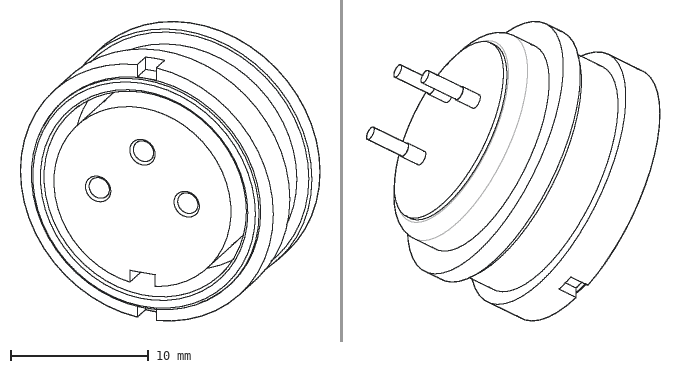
import cadquery as cq


body_radius = 9.0
shell_front = 0.3
front_chamfer = 0.2
bore_radius = 8.0
bore_chamfer = 0.2
socket_depth = 6.0
rear_radius = 8.2
rear_end = 12.2
rear_fillet = 1.0

flange_radius = 10.0
flange_front = 7.8
flange_rear = 9.3
seal_radius = 9.75
seal_section_radius = 0.5

nut_radius = 10.0
nut_front = 0.8
nut_rear = 3.8
notch_width = 1.5
notch_length = 1.5

insert_radius = 7.0
insert_rear = 12.5
key_width = 2.0
key_depth = 1.0

contact_circle_radius = 3.5
contact_places = [
    (-contact_circle_radius, 0),
    (0, contact_circle_radius),
    (contact_circle_radius, 0),
]
hole_diameter = 1.6
hole_mouth_chamfer = 0.2
hole_depth = 4.0
pin_diameter = 1.0
pin_end = 17.0
collar_diameter = 1.08
collar_end = 14.0


def cylinder(radius, start, end):
    """Solid cylinder on the connector axis between two Y positions."""
    return cq.Workplane("XZ", origin=(0, start, 0)).circle(radius).extrude(start - end)


def contact_cylinders(diameter, start, end):
    """One cylinder at every contact place."""
    plane = cq.Workplane("XZ", origin=(0, start, 0))
    return plane.pushPoints(contact_places).circle(diameter / 2).extrude(start - end)


def make_seal():
    """Round-section ring, half embedded in the front face of the flange."""
    section_center = (seal_radius - seal_section_radius, flange_front)
    section = cq.Workplane("XY").center(*section_center).circle(seal_section_radius)
    axis_start = (-section_center[0], 0)
    axis_end = (-section_center[0], 1)
    return section.revolve(360, axis_start, axis_end)


def make_shell():
    body = cylinder(body_radius, shell_front, flange_front).faces("<Y").chamfer(front_chamfer)
    flange = cylinder(flange_radius, flange_front, flange_rear)
    seal = make_seal()
    rear = cylinder(rear_radius, flange_rear, rear_end).faces(">Y").edges().fillet(rear_fillet)
    bore = cylinder(bore_radius, shell_front, socket_depth)
    shell = body.union(flange).union(seal).union(rear).cut(bore)
    inner_edge = cq.selectors.RadiusNthSelector(0)
    return shell.faces("<Y").edges(inner_edge).chamfer(bore_chamfer)


def make_nut():
    nut = cylinder(nut_radius, nut_front, nut_rear).cut(cylinder(body_radius, nut_front, nut_rear))
    notch_middle = nut_front + notch_length / 2
    for side in (-1, 1):
        notch = cq.Workplane("XY").box(notch_width, notch_length, 2 * (nut_radius - body_radius))
        nut = nut.cut(notch.translate((0, notch_middle, side * nut_radius)))
    return nut


def make_insert():
    insert = cylinder(insert_radius, 0, insert_rear)
    keyway = cq.Workplane("XY").box(
        key_width, socket_depth, 2 * key_depth, centered=(True, False, True)
    ).translate((0, 0, -insert_radius))
    holes = contact_cylinders(hole_diameter, 0, hole_depth)
    mouth_edges = cq.selectors.RadiusNthSelector(0)
    insert = insert.cut(holes).faces("<Y").edges(mouth_edges).chamfer(hole_mouth_chamfer)
    return insert.cut(keyway)


def make_pins():
    collars = contact_cylinders(collar_diameter, insert_rear, collar_end)
    return collars.union(contact_cylinders(pin_diameter, insert_rear, pin_end))


result = make_shell().union(make_nut()).union(make_insert()).union(make_pins())